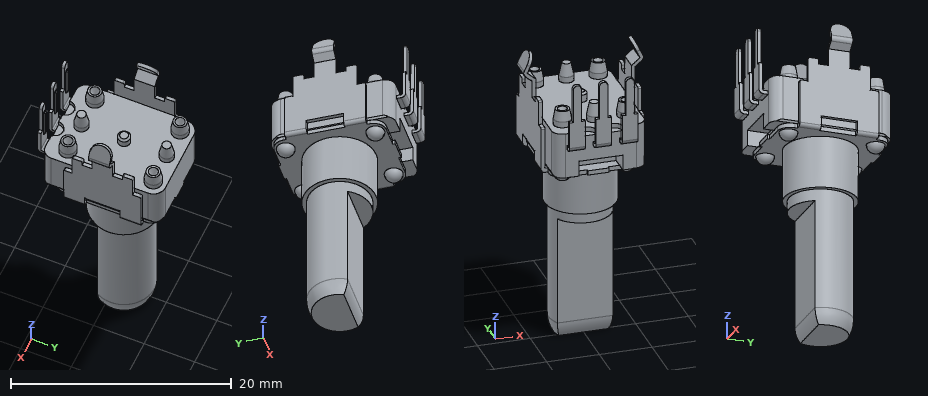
import cadquery as cq
import math


OVERALL_H = 28.7

PLATE_T = 0.43
PLATE_HALF_X = 4.28
PLATE_HALF_Y = 5.28
PLATE_CORNER_R = 1.2
EAR_HALF_X = 4.53
TONGUE_HALF_X = 1.0
TONGUE_HALF_Y = 5.5

WALL_T = 0.37
WALL_OUT_X = EAR_HALF_X + WALL_T
WALL_BEND_R = 0.35
WALL_HALF_Y = 3.82
SHOULDER_Z = 4.5
PRONG_HALF_Y = 3.0
PRONG_IN_Y = 1.98
PRONG_Z = 6.85
PRONG_GAP_Z = 6.35
WALL_CORNER_R = 0.15
WINDOW_HALF_Y = 1.75
WINDOW_TOP_Z = 1.25
WINDOW_IN_X = 4.45

TAB_HALF_Y = 1.03
TAB_BEND_Z = 8.05
TAB_KNEE_X = 5.57
TAB_KNEE_Z = 8.75
TAB_TIP_X = 4.75
TAB_TIP_Z = 10.48
TAB_KNEE_R = 0.45
TAB_LEAN = math.atan2(TAB_KNEE_X - TAB_TIP_X, TAB_TIP_Z - TAB_KNEE_Z)
TAB_TOP_Z = TAB_TIP_Z + WALL_T / 2 * math.sin(TAB_LEAN)

BODY_TOP_Z = 4.88
BODY_HALF_X = 4.4
BODY_REAR_Y = TONGUE_HALF_Y
BODY_FRONT_Y = -6.29
BODY_REAR_R = 1.2
BODY_FRONT_R = 1.0
RELIEF_X = 0.15
RELIEF_Z = 0.2
FRONT_POCKET_HALF_X = 2.07
FRONT_POCKET_TOP_Z = 1.92
FRONT_POCKET_DEPTH = 2.0
SCALLOP_R = 0.8
SCALLOP_DEPTH = 0.45

PEG_X = 3.0
PEG_Y = 4.22
PEG_SHOULDER_Z = 5.45
PEG_R = 0.83
PEG_TOP_R = 0.65
PEG_TOP_Z = 6.43
PEG_HOLE_R = 0.45
PEG_HOLE_DEPTH = 0.85
MID_PEG_R = 0.7
MID_PEG_TOP_R = 0.43
MID_PEG_TOP_Z = 6.7
CENTRE_PEG_R = 0.6
CENTRE_PEG_TOP_Z = 5.8
CENTRE_PEG_CHAMFER = 0.2
RIVET_R = 0.85
RIVET_H = 0.77

PIN_PITCH = 2.5
PIN_T = 0.35
PIN_FRONT_Y = -7.15
PIN_BACK_Y = PIN_FRONT_Y + PIN_T
PIN_BASE_Z = 3.35
PIN_BEND_R = 0.43
PIN_INNER_BEND_R = 0.15
PAD_HALF_X = 0.75
PAD_TOP_Z = 6.37
PIN_HALF_X = 0.4
PIN_TOP_Z = 10.02
BEAD_HALF_X = 0.2
BEAD_T = 0.17
BEAD_CHAMFER = 0.11
BEAD_BOTTOM_Z = 5.57
BEAD_TOP_Z = 8.9

BUSHING_R = 3.45
BUSHING_BOTTOM_Z = -5.0
SHAFT_R = 3.0
FLAT_Y = -1.5
FLAT_START_Z = -6.1
SHAFT_END_Z = TAB_TOP_Z - OVERALL_H
NOSE_H = 1.52
NOSE_INSET = 0.43


def box(x0, x1, y0, y1, z0, z1):
    """Box between two opposite corners."""
    return cq.Workplane("XY").box(x1 - x0, y1 - y0, z1 - z0, centered=False).translate((x0, y0, z0))


def cylinder(x, y, z0, z1, radius):
    return cq.Workplane("XY", origin=(x, y, z0)).circle(radius).extrude(z1 - z0)


def mirrored_pair(solid):
    """The +X solid together with its mirror image across the YZ plane."""
    return solid.union(solid.mirror("YZ"))


def bracket_plate():
    plate = (
        box(-PLATE_HALF_X, PLATE_HALF_X, -PLATE_HALF_Y, PLATE_HALF_Y, 0, PLATE_T)
        .edges("|Z").fillet(PLATE_CORNER_R)
    )
    ears = box(-EAR_HALF_X, EAR_HALF_X, -WALL_HALF_Y, WALL_HALF_Y, 0, PLATE_T)
    tongues = box(-TONGUE_HALF_X, TONGUE_HALF_X, -TONGUE_HALF_Y, TONGUE_HALF_Y, 0, PLATE_T)
    return plate.union(ears).union(tongues)


def bracket_wall():
    """Wall on the +X side, with two prongs above stepped shoulders."""
    lower = (
        box(EAR_HALF_X, WALL_OUT_X, -WALL_HALF_Y, WALL_HALF_Y, 0, SHOULDER_Z)
        .edges("|X and >Z").fillet(WALL_CORNER_R)
        .edges("|Y and <Z and >X").fillet(WALL_BEND_R)
    )
    upper = box(EAR_HALF_X, WALL_OUT_X, -PRONG_HALF_Y, PRONG_HALF_Y, PLATE_T, PRONG_GAP_Z)
    wall = lower.union(upper)
    for side in (-1, 1):
        y_low, y_high = sorted((side * PRONG_IN_Y, side * PRONG_HALF_Y))
        prong = box(EAR_HALF_X, WALL_OUT_X, y_low, y_high, SHOULDER_Z, PRONG_Z)
        wall = wall.union(prong.edges("|X and >Z").fillet(WALL_CORNER_R))
    return wall


def mitred_strip(points, thickness):
    """Outline of a strip of even thickness along a centre line, with mitred bends."""
    headings = [
        math.atan2(z1 - z0, x1 - x0)
        for (x0, z0), (x1, z1) in zip(points, points[1:])
    ]
    left = []
    right = []
    for i, (x, z) in enumerate(points):
        before = headings[max(i - 1, 0)]
        after = headings[min(i, len(headings) - 1)]
        normal = (before + after) / 2 + math.pi / 2
        reach = thickness / 2 / math.cos((after - before) / 2)
        dx = reach * math.cos(normal)
        dz = reach * math.sin(normal)
        left.append((x + dx, z + dz))
        right.append((x - dx, z - dz))
    return left + right[::-1]


def spring_tab():
    """Bent tab above the +X wall, rounded to a half circle at its tip."""
    wall_mid_x = EAR_HALF_X + WALL_T / 2
    centre_line = [
        (wall_mid_x, SHOULDER_Z),
        (wall_mid_x, TAB_BEND_Z),
        (TAB_KNEE_X, TAB_KNEE_Z),
        (TAB_TIP_X, TAB_TIP_Z),
    ]
    strip = (
        cq.Workplane("XZ")
        .polyline(mitred_strip(centre_line, WALL_T)).close()
        .extrude(TAB_HALF_Y, both=True)
        .edges(">X").fillet(TAB_KNEE_R)
    )
    lip_normal = (-math.cos(TAB_LEAN), 0, -math.sin(TAB_LEAN))
    lip_plane = cq.Plane(origin=(TAB_TIP_X, 0, TAB_TIP_Z), xDir=(0, 1, 0), normal=lip_normal)
    strip_length = TAB_TIP_Z - PLATE_T
    outline = (
        cq.Workplane(lip_plane)
        .moveTo(-TAB_HALF_Y, strip_length)
        .lineTo(-TAB_HALF_Y, TAB_HALF_Y)
        .threePointArc((0, 0), (TAB_HALF_Y, TAB_HALF_Y))
        .lineTo(TAB_HALF_Y, strip_length)
        .close()
        .extrude(strip_length, both=True)
    )
    return strip.intersect(outline)


def bracket():
    side = bracket_wall().union(spring_tab())
    window = box(WINDOW_IN_X, WALL_OUT_X, -WINDOW_HALF_Y, WINDOW_HALF_Y, 0, WINDOW_TOP_Z)
    return bracket_plate().union(mirrored_pair(side)).cut(mirrored_pair(window))


def body():
    block = (
        box(-BODY_HALF_X, BODY_HALF_X, BODY_FRONT_Y, BODY_REAR_Y, PLATE_T, BODY_TOP_Z)
        .edges("|Z and >Y").fillet(BODY_REAR_R)
        .edges("|Z and <Y").fillet(BODY_FRONT_R)
    )
    relief = (
        cq.Workplane("XZ", origin=(0, BODY_REAR_Y, 0))
        .polyline([
            (BODY_HALF_X - RELIEF_X, PLATE_T),
            (BODY_HALF_X, PLATE_T),
            (BODY_HALF_X, PLATE_T + RELIEF_Z),
        ]).close()
        .extrude(BODY_REAR_Y - BODY_FRONT_Y)
    )
    block = block.cut(mirrored_pair(relief))
    block = block.cut(box(
        -FRONT_POCKET_HALF_X, FRONT_POCKET_HALF_X,
        BODY_FRONT_Y, BODY_FRONT_Y + FRONT_POCKET_DEPTH,
        PLATE_T, FRONT_POCKET_TOP_Z,
    ))
    for side in (-1, 1):
        scallop_x = side * PIN_PITCH / 2
        scallop = cylinder(scallop_x, BODY_FRONT_Y, BODY_TOP_Z - SCALLOP_DEPTH, BODY_TOP_Z, SCALLOP_R)
        block = block.cut(scallop)
    return block


def tapered_peg(x, y, base_r, top_r, top_z, hole_r=0.0):
    """Peg with a straight foot and a conical top, optionally with a conical hole."""
    profile = cq.Workplane("XZ").moveTo(0, BODY_TOP_Z - PLATE_T).lineTo(base_r, BODY_TOP_Z - PLATE_T)
    profile = profile.lineTo(base_r, PEG_SHOULDER_Z).lineTo(top_r, top_z)
    if hole_r > 0:
        profile = profile.lineTo(hole_r, top_z).lineTo(0, top_z - PEG_HOLE_DEPTH)
    else:
        profile = profile.lineTo(0, top_z)
    return profile.close().revolve(360, (0, 0, 0), (0, 1, 0)).translate((x, y, 0))


def rivet_head(x, y):
    """Domed head under the plate."""
    dome_r = (RIVET_R ** 2 + RIVET_H ** 2) / (2 * RIVET_H)
    ball = cq.Workplane("XY", origin=(x, y, dome_r - RIVET_H)).sphere(dome_r)
    return ball.intersect(box(x - dome_r, x + dome_r, y - dome_r, y + dome_r, -RIVET_H, PLATE_T))


def pegs_and_rivets():
    centre = (
        cylinder(0, 0, BODY_TOP_Z - PLATE_T, CENTRE_PEG_TOP_Z, CENTRE_PEG_R)
        .faces(">Z").chamfer(CENTRE_PEG_CHAMFER)
    )
    group = centre
    for y in (-PEG_Y, PEG_Y):
        group = group.union(tapered_peg(0, y, MID_PEG_R, MID_PEG_TOP_R, MID_PEG_TOP_Z))
        for x in (-PEG_X, PEG_X):
            group = group.union(tapered_peg(x, y, PEG_R, PEG_TOP_R, PEG_TOP_Z, PEG_HOLE_R))
            group = group.union(rivet_head(x, y))
    return group


def terminal(x):
    """L-shaped terminal: a foot out of the body, a wide pad and a round-tipped pin."""
    foot_top_z = PIN_BASE_Z + PIN_T
    foot_end_y = BODY_FRONT_Y + PIN_T
    pad = (
        cq.Workplane("YZ")
        .polyline([
            (PIN_FRONT_Y, PAD_TOP_Z),
            (PIN_FRONT_Y, PIN_BASE_Z),
            (foot_end_y, PIN_BASE_Z),
            (foot_end_y, foot_top_z),
            (PIN_BACK_Y, foot_top_z),
            (PIN_BACK_Y, PAD_TOP_Z),
        ]).close()
        .extrude(PAD_HALF_X, both=True)
        .edges("|X and <Y and <Z").fillet(PIN_BEND_R)
        .edges(cq.selectors.NearestToPointSelector((0, PIN_BACK_Y, foot_top_z))).fillet(PIN_INNER_BEND_R)
    )
    pin = (
        cq.Workplane("XZ", origin=(0, PIN_BACK_Y, 0))
        .moveTo(-PIN_HALF_X, PAD_TOP_Z)
        .lineTo(-PIN_HALF_X, PIN_TOP_Z - PIN_HALF_X)
        .threePointArc((0, PIN_TOP_Z), (PIN_HALF_X, PIN_TOP_Z - PIN_HALF_X))
        .lineTo(PIN_HALF_X, PAD_TOP_Z)
        .close()
        .extrude(PIN_T)
    )
    bead = (
        box(-BEAD_HALF_X, BEAD_HALF_X, PIN_BACK_Y, PIN_BACK_Y + BEAD_T, BEAD_BOTTOM_Z, BEAD_TOP_Z)
        .faces(">Y").chamfer(BEAD_CHAMFER)
    )
    return pad.union(pin).union(bead).translate((x, 0, 0))


def shaft():
    """Shaft with a flat on the -Y side and a nose curving inward on all sides."""
    nose_z = SHAFT_END_Z + NOSE_H
    nose_r = (NOSE_H ** 2 + NOSE_INSET ** 2) / (2 * NOSE_INSET)
    half_h = NOSE_H / 2
    half_inset = nose_r - math.sqrt(nose_r ** 2 - half_h ** 2)
    round_bar = (
        cq.Workplane("XZ")
        .moveTo(0, 0)
        .lineTo(SHAFT_R, 0)
        .lineTo(SHAFT_R, nose_z)
        .threePointArc((SHAFT_R - half_inset, nose_z - half_h), (SHAFT_R - NOSE_INSET, SHAFT_END_Z))
        .lineTo(0, SHAFT_END_Z)
        .close()
        .revolve(360, (0, 0, 0), (0, 1, 0))
    )
    flat_cut = (
        cq.Workplane("YZ")
        .moveTo(-SHAFT_R, FLAT_START_Z)
        .lineTo(FLAT_Y, FLAT_START_Z)
        .lineTo(FLAT_Y, nose_z)
        .threePointArc((FLAT_Y + half_inset, nose_z - half_h), (FLAT_Y + NOSE_INSET, SHAFT_END_Z))
        .lineTo(-SHAFT_R, SHAFT_END_Z)
        .close()
        .extrude(SHAFT_R, both=True)
    )
    return round_bar.cut(flat_cut)


bushing = cylinder(0, 0, BUSHING_BOTTOM_Z, 0, BUSHING_R)

result = bracket().union(body()).union(pegs_and_rivets()).union(bushing).union(shaft())
for column in (-1, 0, 1):
    result = result.union(terminal(column * PIN_PITCH))